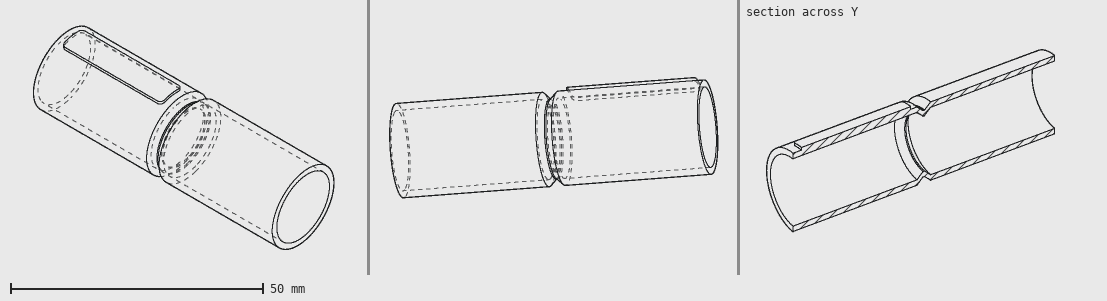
import cadquery as cq

LENGTH = 62.5
OUTER_DIAMETER = 18.8
BORE_DIAMETER = 16.0

GROOVE_WIDTH = 3.25
GROOVE_DIAMETER = 15.95
GROOVE_FLOOR_WIDTH = 0.3
RIDGE_DIAMETER = 13.1

PAD_LENGTH = 26.1
PAD_WIDTH = 6.25
PAD_HEIGHT = 0.6
PAD_END_MARGIN = 2.0
PAD_CORNER_RADIUS = 1.0

MIDDLE = LENGTH / 2
OUTER_RADIUS = OUTER_DIAMETER / 2
PAD_RADIUS = OUTER_RADIUS + PAD_HEIGHT


def pinched_cylinder(diameter, pinch_diameter, pinch_width, floor_width):
    """Solid cylinder along X, narrowed at mid-length by a V with a small flat floor."""
    radius = diameter / 2
    pinch_radius = pinch_diameter / 2
    profile = [
        (0, 0),
        (0, radius),
        (MIDDLE - pinch_width / 2, radius),
        (MIDDLE - floor_width / 2, pinch_radius),
        (MIDDLE + floor_width / 2, pinch_radius),
        (MIDDLE + pinch_width / 2, radius),
        (LENGTH, radius),
        (LENGTH, 0),
    ]
    return cq.Workplane("XY").polyline(profile).close().revolve(360, (0, 0, 0), (1, 0, 0))


def label_pad():
    """Rounded rectangle standing on the tube, its top concentric with the tube."""
    outline = (
        cq.Workplane("XY")
        .center(PAD_END_MARGIN + PAD_LENGTH / 2, 0)
        .rect(PAD_LENGTH, PAD_WIDTH)
        .extrude(PAD_RADIUS)
        .edges("|Z")
        .fillet(PAD_CORNER_RADIUS)
    )
    top_envelope = cq.Workplane("YZ").circle(PAD_RADIUS).extrude(LENGTH)
    return outline.intersect(top_envelope)


body = pinched_cylinder(OUTER_DIAMETER, GROOVE_DIAMETER, GROOVE_WIDTH, GROOVE_FLOOR_WIDTH)
bore = pinched_cylinder(BORE_DIAMETER, RIDGE_DIAMETER, GROOVE_WIDTH, GROOVE_FLOOR_WIDTH)

result = body.union(label_pad()).cut(bore)